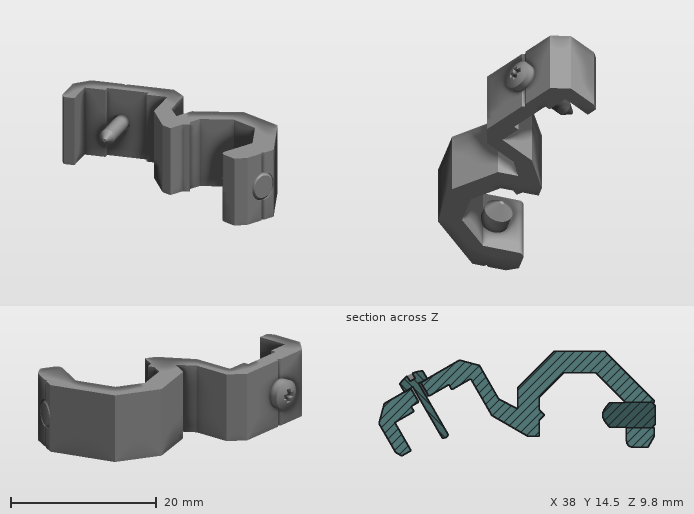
import cadquery as cq
import math

height = 9.8
tilt = 30

wall = 3.05
left_x = 0.08
right_x = 18.95
right_wall = 3.9
top_y = 7.22
top_left_x = 5.17
top_right_x = 12.05
inner_left_x = left_x + wall
inner_right_x = right_x - right_wall
inner_top_y = top_y - wall
slope_shift = wall * math.tan(math.radians(45 / 2))
left_foot_y = -4.55
left_foot_x = 1.52
right_foot_y = -6.05
foot_chamfer = 0.9
foot_radius = 0.9
tooth = 0.7

leg = 2.0
back_t = 9.12
ledge_t = 6.1
recess_t = 6.9
outer_left_s = -17.85
outer_right_s = -1.82
recess_left_s = -12.77
recess_right_s = -6.85
leg_end_t = 1.65
leg_chamfer = 0.5

web_top = (-2.5, 0.65)
web_top_end_y = -0.72
web_bottom_s = outer_right_s - leg
groove_depth = 0.3

screw_s = -10.8
shank_d = 2.2
clearance_d = 2.5
head_d = 4.2
head_side = 1.25
dome_height = 0.57
tip_base_t = 1.0
tip_t = -0.4
tip_radius = 0.247
recess_width = 0.75
recess_length = 1.98
recess_depth = 0.95
recess_core_d = 1.2

set_y = -1.6
set_d = 4.0
set_end_d = 3.25
set_end_x = 19.0
set_cone_x = 12.75
set_tip_x = 11.03


def tilted(s, t):
    """Point at s along and t across the small clamp, in X and Y."""
    c = math.cos(math.radians(tilt))
    d = math.sin(math.radians(tilt))
    return (s * c - t * d, s * d + t * c)


def clip_outline():
    fall = math.tan(math.radians(tilt))
    c = math.cos(math.radians(tilt))
    web_bottom_x = (web_bottom_s / c - (left_foot_y + fall * left_foot_x) * fall) / (1 - fall ** 2)
    web_bottom = (web_bottom_x, left_foot_y + fall * (left_foot_x - web_bottom_x))
    large_outer = [
        (left_x, web_top_end_y),
        (left_x, top_y - (top_left_x - left_x)),
        (top_left_x, top_y),
        (top_right_x, top_y),
        (right_x, top_y - (right_x - top_right_x)),
        (right_x, set_y + groove_depth),
        (right_x - groove_depth, set_y),
        (right_x, set_y - groove_depth),
        (right_x, right_foot_y + foot_chamfer / math.tan(math.radians(tilt))),
        (right_x - foot_chamfer, right_foot_y),
    ]
    inner_top_left = top_left_x + slope_shift
    inner_top_right = top_right_x - slope_shift
    large_inner = [
        (inner_right_x, right_foot_y),
        (inner_right_x, inner_top_y - (inner_right_x - inner_top_right)),
        (inner_top_right, inner_top_y),
        (inner_top_left, inner_top_y),
        (inner_left_x, inner_top_y - (inner_top_left - inner_left_x)),
        (inner_left_x, set_y + tooth),
        (inner_left_x + tooth, set_y),
        (inner_left_x, set_y - tooth),
        (inner_left_x, left_foot_y),
        (left_foot_x, left_foot_y),
        web_bottom,
    ]
    small = [
        (outer_right_s - leg, ledge_t),
        (recess_right_s, ledge_t),
        (recess_right_s, recess_t),
        (recess_left_s, recess_t),
        (recess_left_s, ledge_t),
        (outer_left_s + leg, ledge_t),
        (outer_left_s + leg, leg_end_t),
        (outer_left_s + leg_chamfer, leg_end_t),
        (outer_left_s, leg_end_t + leg_chamfer / math.tan(math.radians(tilt))),
        (outer_left_s, back_t - leg),
        (outer_left_s + leg, back_t),
        (screw_s - groove_depth, back_t),
        (screw_s, back_t - groove_depth),
        (screw_s + groove_depth, back_t),
        (outer_right_s - leg, back_t),
        (outer_right_s, back_t - leg),
    ]
    return large_outer + large_inner + [tilted(s, t) for s, t in small] + [web_top]


def make_clip():
    clip = cq.Workplane("XY").workplane(offset=-height / 2).polyline(clip_outline()).close().extrude(height)
    pick = 0.05
    foot_corner = cq.selectors.BoxSelector(
        (inner_right_x - pick, right_foot_y - pick, -height),
        (inner_right_x + pick, right_foot_y + pick, height),
    )
    clip = clip.edges(foot_corner).fillet(foot_radius)
    set_hole = cq.Workplane("YZ", origin=(inner_right_x, set_y, 0)).circle(set_d / 2).extrude(right_wall)
    screw_hole = (
        cq.Workplane("XZ", origin=(screw_s, back_t, 0))
        .circle(clearance_d / 2)
        .extrude(back_t - recess_t)
        .rotate((0, 0, 0), (0, 0, 1), tilt)
    )
    return clip.cut(set_hole).cut(screw_hole)


def make_screw():
    head_t = back_t + head_side
    top_t = head_t + dome_height
    dome_radius = ((head_d / 2) ** 2 + dome_height ** 2) / (2 * dome_height)
    mid_r = head_d / 4
    mid_t = top_t - dome_radius + math.sqrt(dome_radius ** 2 - mid_r ** 2)
    screw = (
        cq.Workplane("XY")
        .moveTo(0, tip_t)
        .lineTo(tip_radius, tip_t)
        .lineTo(shank_d / 2, tip_base_t)
        .lineTo(shank_d / 2, back_t)
        .lineTo(head_d / 2, back_t)
        .lineTo(head_d / 2, head_t)
        .threePointArc((mid_r, mid_t), (0, top_t))
        .close()
        .revolve(360, (0, 0, 0), (0, 1, 0))
    )
    for angle in (0, 90):
        slot = (
            cq.Workplane("XZ", origin=(0, top_t, 0))
            .transformed(rotate=(0, 0, angle))
            .rect(recess_length, recess_width)
            .extrude(recess_depth)
        )
        screw = screw.cut(slot)
    core = cq.Workplane("XZ", origin=(0, top_t, 0)).circle(recess_core_d / 2).extrude(recess_depth)
    screw = screw.cut(core)
    return screw.translate((screw_s, 0, 0)).rotate((0, 0, 0), (0, 0, 1), tilt)


def make_set_screw():
    radius = set_d / 2
    set_tip_radius = radius - (set_cone_x - set_tip_x)
    outline = [
        (set_tip_x, 0),
        (set_tip_x, set_tip_radius),
        (set_cone_x, radius),
        (set_end_x - (set_d - set_end_d) / 2, radius),
        (set_end_x, set_end_d / 2),
        (set_end_x, 0),
    ]
    profile = cq.Workplane("XY").polyline(outline).close()
    return profile.revolve(360, (0, 0, 0), (1, 0, 0)).translate((0, set_y, 0))


clip = make_clip()
screw = make_screw()
set_screw = make_set_screw()

result = cq.Compound.makeCompound([clip.val(), screw.val(), set_screw.val()])